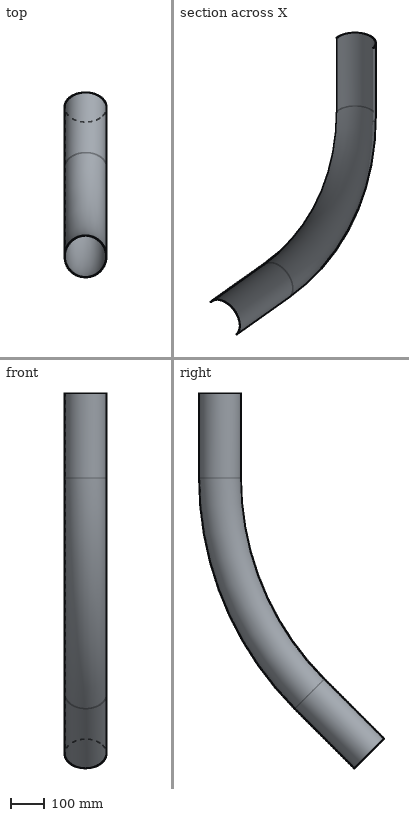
import cadquery as cq
import math

OUTER_DIAMETER = 127.0
INNER_DIAMETER = 122.78
BEND_RADIUS = 914.4
BEND_ANGLE = 45.0
LEG_LENGTH = 254.0


def point_on_bend(angle):
    """Centreline point, as (Y, Z), after turning the given angle in degrees from vertical."""
    turn = math.radians(angle)
    return (BEND_RADIUS * (1 - math.cos(turn)), -BEND_RADIUS * math.sin(turn))


def make_centreline():
    """Vertical leg, bend toward +Y and sloping leg; the bend starts at the origin."""
    bend_middle = point_on_bend(BEND_ANGLE / 2)
    bend_end = point_on_bend(BEND_ANGLE)
    slope = math.radians(BEND_ANGLE)
    lower_end = (
        bend_end[0] + LEG_LENGTH * math.sin(slope),
        bend_end[1] - LEG_LENGTH * math.cos(slope),
    )
    return (
        cq.Workplane("YZ")
        .moveTo(0, LEG_LENGTH)
        .lineTo(0, 0)
        .threePointArc(bend_middle, bend_end)
        .lineTo(*lower_end)
    )


def make_pipe():
    """Sweep the ring-shaped wall section along the centreline."""
    wall_section = (
        cq.Workplane("XY")
        .workplane(offset=LEG_LENGTH)
        .circle(OUTER_DIAMETER / 2)
        .circle(INNER_DIAMETER / 2)
    )
    return wall_section.sweep(make_centreline())


result = make_pipe()